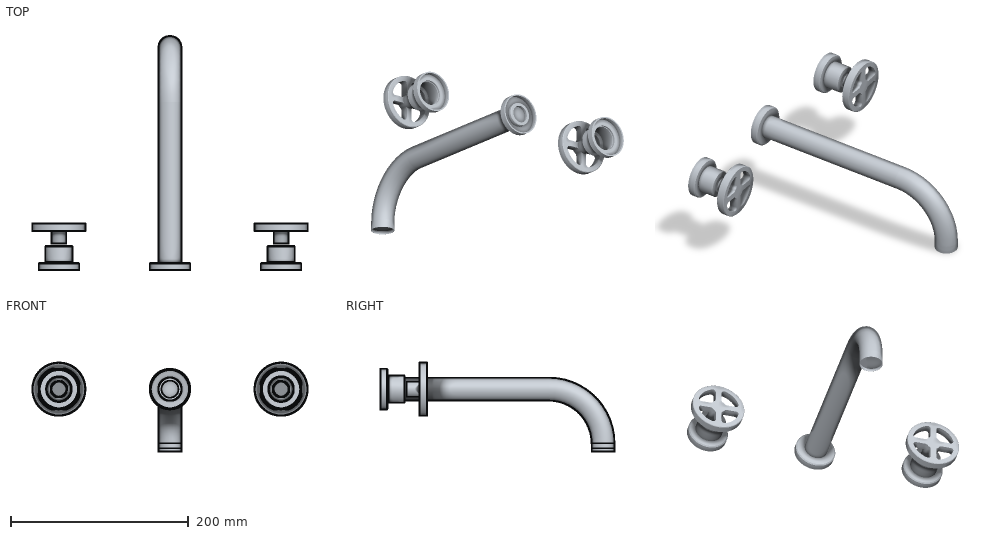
import cadquery as cq

overall_width = 310.0
overall_reach = 263.5
overall_height = 100.5

wheel_radius = 30.0
wheel_back = 43.7
wheel_front = wheel_back + 9.3
wheel_chamfer = 0.5
stem_radius = 8.5
stem_end = 29.8
window_outer_radius = 24.2
window_inner_radius = stem_radius
window_fillet = 3.0
spoke_width = 6.8

flange_radius = 23.0
flange_height = 8.5
flange_rim = 1.5
flange_plate = 2.5
flange_chamfer = 1.2
plate_back = flange_height - flange_plate

sleeve_radius = 15.5
sleeve_end = 27.5
sleeve_end_wall = 2.0
sleeve_chamfer = 1.0
sleeve_bore_radius = 13.5
sleeve_hole_radius = 9.3
handle_flange_hole_radius = 14.3

pipe_radius = 13.0
bend_radius = 61.0
outlet_y = overall_reach - pipe_radius
outlet_z = wheel_radius - overall_height
bend_start = outlet_y - bend_radius

inlet_back = 0.5
inlet_radius = 13.3
inlet_chamfer = 0.5
inlet_bore_radius = 9.5
inlet_bore_depth = 4.0

outlet_wall = 0.15
outlet_bore_radius = pipe_radius - outlet_wall
outlet_bore_depth = 9.3
aerator_recess = 3.7

handle_offset = overall_width / 2 - wheel_radius


def rod(radius, start, end):
    """Cylinder about the Y axis from Y = start to Y = end."""
    return cq.Workplane("XZ", origin=(0, start, 0)).circle(radius).extrude(start - end)


def outlet_plug(start, end):
    """Vertical cylinder filling the outlet bore between two heights above the outlet face."""
    base = cq.Workplane("XY", origin=(0, outlet_y, outlet_z + start))
    return base.circle(outlet_bore_radius).extrude(end - start)


def make_flange(hole_radius):
    """Cup open towards the wall, with a through hole in its front plate."""
    cup = rod(flange_radius, 0, flange_height).faces(">Y").edges().chamfer(flange_chamfer)
    recess = rod(flange_radius - flange_rim, 0, plate_back)
    hole = rod(hole_radius, plate_back, flange_height)
    return cup.cut(recess).cut(hole)


def make_sleeve():
    """Tube standing on the flange, with a holed end wall facing the stem."""
    body = rod(sleeve_radius, flange_height, sleeve_end)
    body = body.faces("<Y or >Y").edges().chamfer(sleeve_chamfer)
    bore = rod(sleeve_bore_radius, flange_height, sleeve_end - sleeve_end_wall)
    hole = rod(sleeve_hole_radius, flange_height, sleeve_end)
    return body.cut(bore).cut(hole)


def make_window():
    """Quarter-ring opening between two spokes, in the +X, +Z quadrant."""
    ring = rod(window_outer_radius, wheel_back, wheel_front)
    ring = ring.cut(rod(window_inner_radius, wheel_back, wheel_front))
    quadrant = cq.Workplane("XY").box(wheel_radius, wheel_front, wheel_radius, centered=False)
    quadrant = quadrant.translate((spoke_width / 2, 0, spoke_width / 2))
    return ring.intersect(quadrant).edges("|Y").fillet(window_fillet)


def make_handwheel():
    """Four-spoke wheel in one piece with the stem behind it."""
    wheel = rod(wheel_radius, wheel_back, wheel_front)
    wheel = wheel.faces("<Y or >Y").edges().chamfer(wheel_chamfer)
    window = make_window()
    for quarter in range(4):
        wheel = wheel.cut(window.rotate((0, 0, 0), (0, 1, 0), 90 * quarter))
    return wheel.union(rod(stem_radius, stem_end, wheel_back))


def make_pipe():
    """Round spout that runs out from the wall and bends down to the outlet."""
    path = (
        cq.Workplane("YZ")
        .moveTo(plate_back, 0)
        .lineTo(bend_start, 0)
        .radiusArc((outlet_y, -bend_radius), bend_radius)
        .lineTo(outlet_y, outlet_z)
    )
    pipe = cq.Workplane("XZ", origin=(0, plate_back, 0)).circle(pipe_radius).sweep(path)
    return pipe.cut(outlet_plug(0, outlet_bore_depth))


def make_inlet():
    """Nipple with a blind bore, butting against the back end of the pipe."""
    nipple = rod(inlet_radius, inlet_back, plate_back)
    nipple = nipple.faces("<Y").edges().chamfer(inlet_chamfer)
    return nipple.cut(rod(inlet_bore_radius, inlet_back, inlet_back + inlet_bore_depth))


def make_aerator():
    """Disc seated at the top of the outlet bore."""
    return outlet_plug(aerator_recess, outlet_bore_depth)


bodies = [make_pipe(), make_flange(pipe_radius), make_inlet(), make_aerator()]

for side in (-1, 1):
    for handle_body in (make_flange(handle_flange_hole_radius), make_sleeve(), make_handwheel()):
        bodies.append(handle_body.translate((side * handle_offset, 0, 0)))

result = cq.Compound.makeCompound([body.solids().val() for body in bodies])